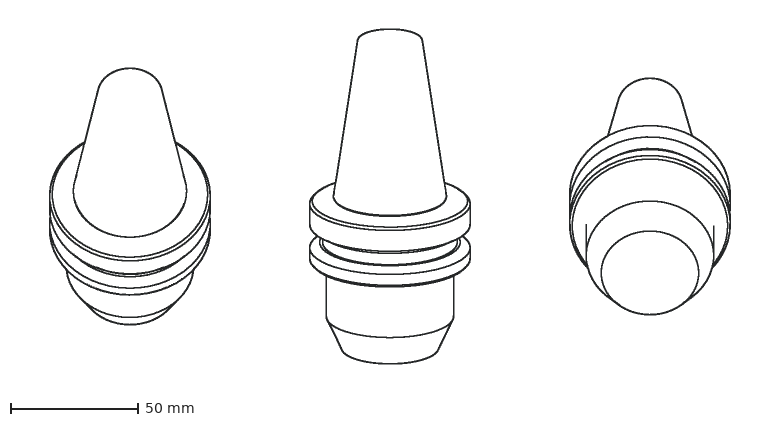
import cadquery as cq

total_length = 128.4
nose_cone_height = 13.1
flange_bottom = 36.1
flange_top = 61.0
gauge_level = 62.9

nose_tip_radius = 19.1
body_radius = 25.0
flange_radius = 31.52
gauge_radius = 22.2
neck_radius = 21.8

taper_slope = 7 / 24 / 2
taper_end_radius = gauge_radius - (total_length - gauge_level) * taper_slope

groove_radius = 26.5
groove_center = 46.5
groove_floor_width = 5.1
groove_mouth_width = 9.6
flank_root_radius = 27.6

flange_chamfer = 1.0
body_fillet = 1.0
neck_fillet = 0.8
gauge_bevel_height = 0.5
taper_end_fillet = 1.0


def revolve_profile(profile):
    """Turn a closed radius/height profile about the Z axis."""
    return profile.close().revolve(360, (0, 0, 0), (0, 1, 0))


def make_holder():
    """Nose, body, flange, neck and taper as one turned solid."""
    profile = (
        cq.Workplane("XZ")
        .lineTo(nose_tip_radius, 0)
        .lineTo(body_radius, nose_cone_height)
        .lineTo(body_radius, flange_bottom - body_fillet)
        .radiusArc((body_radius + body_fillet, flange_bottom), body_fillet)
        .lineTo(flange_radius - flange_chamfer, flange_bottom)
        .lineTo(flange_radius, flange_bottom + flange_chamfer)
        .lineTo(flange_radius, flange_top - flange_chamfer)
        .lineTo(flange_radius - flange_chamfer, flange_top)
        .lineTo(neck_radius + neck_fillet, flange_top)
        .radiusArc((neck_radius, flange_top + neck_fillet), neck_fillet)
        .lineTo(neck_radius, gauge_level - gauge_bevel_height)
        .lineTo(gauge_radius, gauge_level)
        .lineTo(taper_end_radius, total_length)
        .lineTo(0, total_length)
    )
    return revolve_profile(profile).faces(">Z").edges().fillet(taper_end_fillet)


def make_groove():
    """Ring to cut from the flange, with sloping flanks."""
    half_floor = groove_floor_width / 2
    half_mouth = groove_mouth_width / 2
    profile = (
        cq.Workplane("XZ")
        .moveTo(groove_radius, groove_center - half_floor)
        .lineTo(flank_root_radius, groove_center - half_floor)
        .lineTo(flange_radius, groove_center - half_mouth)
        .lineTo(flange_radius, groove_center + half_mouth)
        .lineTo(flank_root_radius, groove_center + half_floor)
        .lineTo(groove_radius, groove_center + half_floor)
    )
    return revolve_profile(profile)


result = make_holder().cut(make_groove())